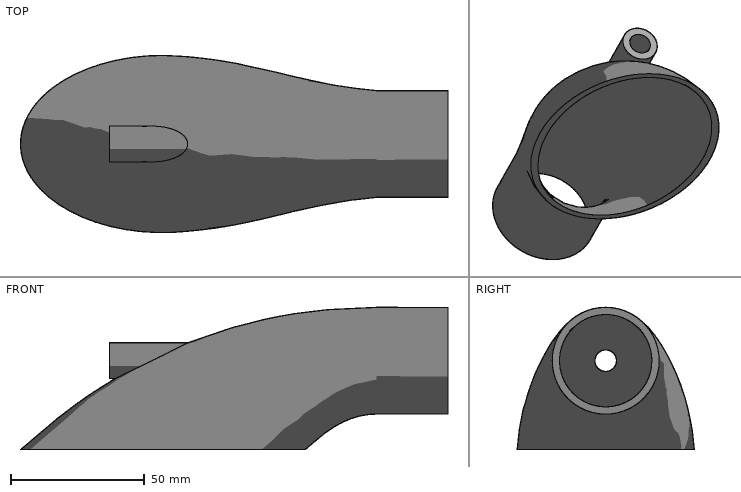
import cadquery as cq
import math

total_length = 160.2
pipe_diameter = 40.0
collar_length = 26.8
wall = 2.7
foot_length = 106.7
foot_width = 66.5
total_height = 53.4
nipple_diameter = 13.5
nipple_bore = 8.0
nipple_start = 33.3
nipple_length = 38.5
section_count = 9

collar_start = total_length - collar_length
pipe_axis_height = total_height - pipe_diameter / 2
pipe_bottom = total_height - pipe_diameter

crown_curve = [(0, 0), (41.7, 38.5), (88.1, total_height), (collar_start, total_height)]
heel_curve = [(foot_length, 0), (115.4, 8.0), (123.4, pipe_bottom), (collar_start, pipe_bottom)]
half_width_curve = [(foot_width / 2,), (31.7,), (22.5,), (pipe_diameter / 2,)]


def bezier(controls, t):
    weights = [(1 - t) ** 3, 3 * t * (1 - t) ** 2, 3 * t ** 2 * (1 - t), t ** 3]
    return [sum(w * value for w, value in zip(weights, axis)) for axis in zip(*controls)]


def body_section(t, inset):
    """Ellipse spanning the crown and heel curves, reduced all round by inset."""
    crown_x, crown_z = bezier(crown_curve, t)
    heel_x, heel_z = bezier(heel_curve, t)
    across_x = crown_x - heel_x
    across_z = crown_z - heel_z
    half_span = math.hypot(across_x, across_z) / 2 - inset
    half_width = bezier(half_width_curve, t)[0] - inset
    plane = cq.Plane(
        origin=((crown_x + heel_x) / 2, 0, (crown_z + heel_z) / 2),
        xDir=(0, 1, 0),
        normal=(-across_z, 0, across_x),
    )
    return cq.Workplane(plane).ellipse(half_width, half_span).val()


def flared_body(inset):
    wires = []
    for index in range(section_count):
        edge = body_section(index / (section_count - 1), inset)
        wires.append(cq.Wire.assembleEdges(edge.Edges()))
    return cq.Workplane(cq.Solid.makeLoft(wires))


def rod(start, length, diameter):
    """Cylinder along X on the pipe axis."""
    plane = cq.Workplane("YZ", origin=(start, 0, pipe_axis_height))
    return plane.circle(diameter / 2).extrude(length)


outside = (
    flared_body(0)
    .union(rod(collar_start, collar_length, pipe_diameter))
    .union(rod(nipple_start, nipple_length, nipple_diameter))
)

result = (
    outside
    .cut(flared_body(wall))
    .cut(rod(collar_start, collar_length, pipe_diameter - 2 * wall))
    .cut(rod(nipple_start, nipple_length, nipple_bore))
)